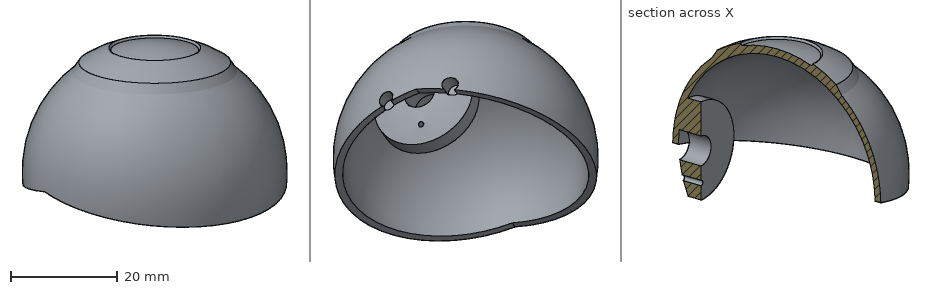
import cadquery as cq
import math

ball_radius = 25.0
cavity_radius = 23.5
rim_slope = 10.0

iris_base_z = 19.55
iris_edge_z = 21.4
iris_dome_radius = 25.75
iris_inner_z = 24.25
pupil_dome_radius = 25.2
pupil_radius = 8.3

disc_diameter = 20.0
disc_bore_diameter = 6.0
disc_face_y = 18.1
screw_circle_radius = 6.5
screw_hole_diameter = 1.0
access_hole_diameter = 3.0


def sphere_offset(radius, distance):
    """Distance from the axis to a sphere at a given distance along that axis."""
    return math.sqrt(radius ** 2 - distance ** 2)


def y_cylinder(diameter, start_y, end_y, x=0.0, z=0.0):
    """Cylinder along +Y between two Y positions."""
    plane = cq.Plane(origin=(x, start_y, z), xDir=(1, 0, 0), normal=(0, 1, 0))
    return cq.Workplane(plane).circle(diameter / 2).extrude(end_y - start_y)


def make_iris_cap():
    """Revolved cap: conical edge, spherical iris and a slightly sunken pupil dome."""
    iris_mid_z = (iris_edge_z + iris_inner_z) / 2
    pupil_edge_z = sphere_offset(pupil_dome_radius, pupil_radius)
    pupil_mid_r = pupil_radius / 2
    profile = (
        cq.Workplane("XZ")
        .lineTo(sphere_offset(ball_radius, iris_base_z), iris_base_z)
        .lineTo(sphere_offset(iris_dome_radius, iris_edge_z), iris_edge_z)
        .threePointArc(
            (sphere_offset(iris_dome_radius, iris_mid_z), iris_mid_z),
            (sphere_offset(iris_dome_radius, iris_inner_z), iris_inner_z),
        )
        .lineTo(pupil_radius, pupil_edge_z)
        .threePointArc(
            (pupil_mid_r, sphere_offset(pupil_dome_radius, pupil_mid_r)),
            (0, pupil_dome_radius),
        )
        .close()
    )
    return profile.revolve(360, (0, 0), (0, 1))


def make_rim_cutter():
    """Prism below the two sloping rim planes that meet along the Y axis."""
    reach = 2 * ball_radius
    drop = reach * math.tan(math.radians(rim_slope))
    outline = [(0, 0), (reach, -drop), (reach, -reach), (-reach, -reach), (-reach, -drop)]
    return cq.Workplane("XZ").polyline(outline).close().extrude(reach, both=True)


def make_shell():
    """Ball with its iris cap, hollowed and trimmed to the sloping rim."""
    ball = cq.Workplane("XY").sphere(ball_radius).union(make_iris_cap())
    return ball.cut(cq.Workplane("XY").sphere(cavity_radius)).cut(make_rim_cutter())


def make_disc():
    """Bored flange whose back follows the cavity sphere, with its lower screw hole."""
    disc = y_cylinder(disc_diameter, disc_face_y, ball_radius)
    disc = disc.intersect(cq.Workplane("XY").sphere(cavity_radius))
    disc = disc.cut(y_cylinder(disc_bore_diameter, disc_face_y, ball_radius))
    return disc.cut(y_cylinder(screw_hole_diameter, disc_face_y, ball_radius, z=-screw_circle_radius))


def drill_access_holes(body):
    """Holes through the +Y wall on both sides of the bore, down to the plane of the disc's back edge."""
    floor_y = sphere_offset(cavity_radius, disc_diameter / 2)
    for side in (-1, 1):
        x = side * screw_circle_radius
        body = body.cut(y_cylinder(access_hole_diameter, floor_y, ball_radius, x=x))
    return body


result = drill_access_holes(make_shell().union(make_disc()))